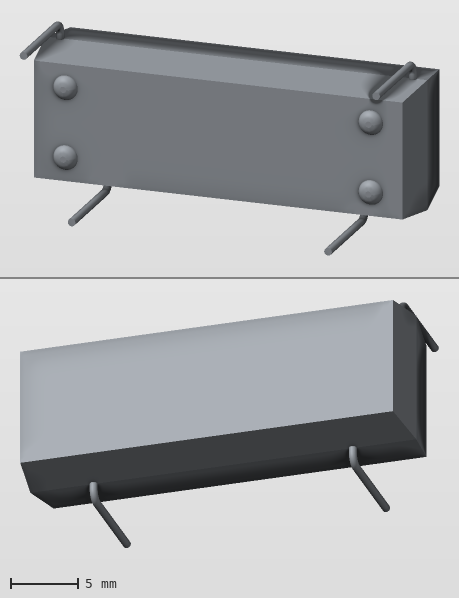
import cadquery as cq

housing_length = 30.2
housing_height = 10.25
half_depth = 4.1
taper_inset = 0.5

foot_radius = 0.97
foot_tip_radius = 0.25
foot_height = 0.55
foot_x = 12.08
foot_z = 2.75

pin_radius = 0.3
bend_radius = 0.8
pin_row_z = 6.35
pin_tip_y = -8.18
upper_pin_x = 13.95
lower_pin_x = 10.15
pin_embed = 0.6

pin_inner_z = housing_height / 2 - pin_embed


def make_housing_half(direction):
    """Half of the housing, tapering from Y = 0 toward +Y (1) or -Y (-1)."""
    return (
        cq.Workplane("XZ")
        .rect(housing_length, housing_height)
        .workplane(offset=-direction * half_depth)
        .rect(housing_length - 2 * taper_inset, housing_height - 2 * taper_inset)
        .loft(ruled=True)
    )


def make_foot(x, z):
    """Domed foot with a small flat tip, its rounded flank tangent to that tip."""
    flank_width = foot_radius - foot_tip_radius
    flank_radius = (flank_width**2 + foot_height**2) / (2 * foot_height)
    return (
        cq.Workplane("XY", origin=(x, -half_depth, z))
        .lineTo(foot_radius, 0)
        .radiusArc((foot_tip_radius, -foot_height), flank_radius)
        .lineTo(0, -foot_height)
        .close()
        .revolve(360, (0, 0), (0, 1))
    )


def make_pin(x, side):
    """Wire leaving the upper (side 1) or lower (side -1) ridge and bending toward -Y."""
    path = (
        cq.Workplane("YZ", origin=(x, 0, 0))
        .moveTo(0, side * pin_inner_z)
        .lineTo(0, side * (pin_row_z - bend_radius))
        .radiusArc((-bend_radius, side * pin_row_z), -side * bend_radius)
        .lineTo(pin_tip_y, side * pin_row_z)
    )
    return cq.Workplane("XY", origin=(x, 0, side * pin_inner_z)).circle(pin_radius).sweep(path)


pins = []
for side, pin_x in ((1, upper_pin_x), (-1, lower_pin_x)):
    for x in (-pin_x, pin_x):
        pins.append(make_pin(x, side))

housing = make_housing_half(1).union(make_housing_half(-1))
for x in (-foot_x, foot_x):
    for z in (-foot_z, foot_z):
        housing = housing.union(make_foot(x, z))

for pin in pins:
    housing = housing.cut(pin)

result = cq.Compound.makeCompound([housing.solids().val(), *[pin.val() for pin in pins]])